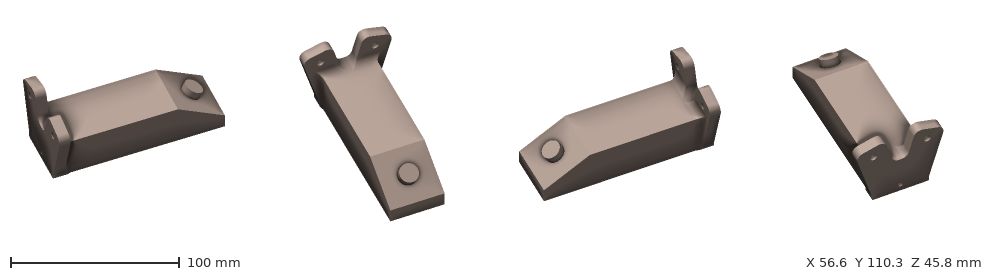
import cadquery as cq
import math

total_length = 110.3
block_width = 35.1
block_height = 26.7
slope_run = 30.0
slope_angle = 30.0

plate_thickness = 7.1
foot_half_width = 18.8
foot_height = 3.4
foot_corner_radius = 1.0
ear_outer_corner = (29.5, 41.7)
ear_inner_corner = (10.0, 46.9)
notch_floor_half_width = 4.6
ear_radius = 5.0
notch_radius = 5.0
root_radius = 5.0

ear_hole_spacing = 35.3
ear_hole_height = 36.5
ear_hole_diameter = 4.5
small_hole_height = 5.0
small_hole_diameter = 3.1
small_hole_depth = plate_thickness

button_diameter = 12.0
button_height = 5.0
button_center_from_end = 15.0
recess_diameter = 13.0
recess_depth = 1.0


def make_block():
    end_height = block_height - slope_run * math.tan(math.radians(slope_angle))
    side = [
        (0, 0),
        (total_length, 0),
        (total_length, end_height),
        (total_length - slope_run, block_height),
        (0, block_height),
    ]
    return cq.Workplane("YZ").polyline(side).close().extrude(block_width / 2, both=True)


def make_plate_outline(depth):
    """Plate silhouette with rounded corners, extruded from Y = 0 to Y = depth."""
    right_half = [
        (foot_half_width, 0),
        (foot_half_width, foot_height),
        ear_outer_corner,
        ear_inner_corner,
        (notch_floor_half_width, block_height),
    ]
    left_half = [(-x, z) for x, z in reversed(right_half)]
    outline = cq.Workplane("XZ").polyline(right_half + left_half).close().extrude(-depth)

    def round_pair(body, corner, radius):
        x, z = corner
        for side in (-1, 1):
            picker = cq.selectors.NearestToPointSelector((side * x, depth / 2, z))
            body = body.edges("|Y").edges(picker).fillet(radius)
        return body

    outline = round_pair(outline, right_half[0], foot_corner_radius)
    outline = round_pair(outline, ear_outer_corner, ear_radius)
    outline = round_pair(outline, ear_inner_corner, ear_radius)
    return round_pair(outline, right_half[-1], notch_radius)


def make_root(depth):
    """Front stretch of the block, its top and sides flaring out to the plate with mitred corners."""
    half_width = block_width / 2
    arc_bulge = root_radius * (1 - math.sqrt(0.5))
    arc_middle = plate_thickness + arc_bulge

    def flare(plane, size):
        """Half section: Y along the block against the distance flared outward."""
        return (
            cq.Workplane(plane)
            .lineTo(size + root_radius, 0)
            .lineTo(size + root_radius, plate_thickness)
            .threePointArc((size + arc_bulge, arc_middle), (size, depth))
            .lineTo(0, depth)
            .close()
        )

    height = block_height + root_radius
    right_flare = flare("XY", half_width).extrude(height)
    side_flares = right_flare.union(right_flare.mirror("YZ"))
    top_flare = flare("ZY", block_height).extrude(half_width + root_radius, both=True)
    return side_flares.intersect(top_flare)


def cut_plate_holes(body):
    front = cq.Workplane("XZ")
    ear_holes = (
        front.pushPoints([(side * ear_hole_spacing / 2, ear_hole_height) for side in (-1, 1)])
        .circle(ear_hole_diameter / 2)
        .extrude(-plate_thickness - root_radius)
    )
    small_hole = (
        front.center(0, small_hole_height)
        .circle(small_hole_diameter / 2)
        .extrude(-small_hole_depth)
    )
    return body.cut(ear_holes).cut(small_hole)


def add_button(body):
    angle = math.radians(slope_angle)
    center_height = block_height - (slope_run - button_center_from_end) * math.tan(angle)
    slope_plane = cq.Plane(
        origin=(0, total_length - button_center_from_end, center_height),
        xDir=(1, 0, 0),
        normal=(0, math.sin(angle), math.cos(angle)),
    )
    slope = cq.Workplane(slope_plane)
    recess = slope.circle(recess_diameter / 2).extrude(-recess_depth)
    button = (
        slope.workplane(offset=-recess_depth)
        .circle(button_diameter / 2)
        .extrude(button_height + recess_depth)
    )
    return body.cut(recess).union(button)


root_depth = plate_thickness + root_radius
root = make_root(root_depth).intersect(make_plate_outline(root_depth))
plate = make_plate_outline(plate_thickness)
result = make_block().union(plate).union(root)
result = cut_plate_holes(result)
result = add_button(result)